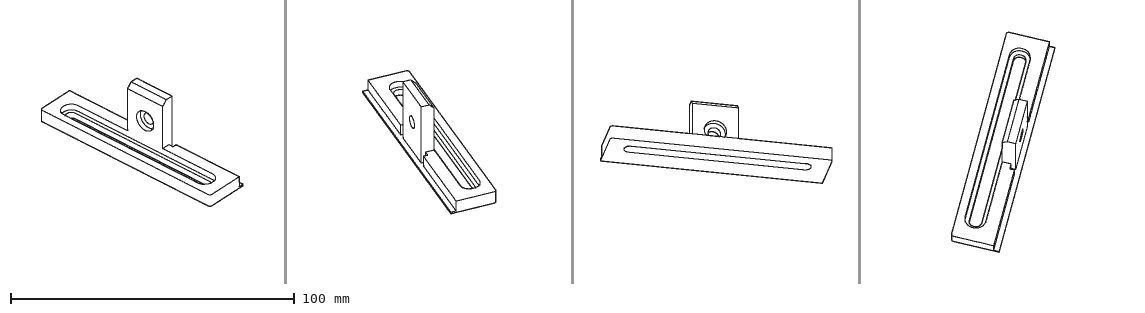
import cadquery as cq

length = 80.0
total_depth = 17.5
total_height = 25.0
base_height = 5.0
corner_radius = 1.0

lip_depth = 2.0
lip_height = 0.7
body_depth = total_depth - lip_depth

tab_width = 16.6
tab_thickness = 5.0
tab_chamfer = 1.9
tab_front = body_depth - tab_thickness

notch_width = 1.9
notch_depth = 1.7

hole_diameter = 4.5
counterbore_diameter = 8.0
counterbore_depth = 2.0
hole_height = base_height + 8.0

slot_length = 67.2
slot_width = 4.5
slot_radius = 2.0
recess_margin = 1.5
recess_depth = 2.5
recess_width = slot_width + 2 * recess_margin
slot_center = tab_front - recess_width / 2


def block(width, y_start, depth, z_start, height):
    """Box centred on x = 0, starting at the given y and z."""
    return (
        cq.Workplane("XY")
        .box(width, depth, height, centered=(True, False, False))
        .translate((0, y_start, z_start))
    )


def slot_cutter(end_to_end, width, radius, z_start, height):
    """Rectangular cutter on the slot centre line, with rounded vertical edges."""
    cutter = block(end_to_end, slot_center - width / 2, width, z_start, height)
    return cutter.edges("|Z").fillet(radius)


def tab_bore(diameter, depth):
    """Cylinder running rearward from the front face of the tab."""
    return (
        cq.Workplane("XZ", origin=(0, tab_front, hole_height))
        .circle(diameter / 2)
        .extrude(-depth)
    )


base = block(length, 0, body_depth, 0, base_height)
base = base.edges("|Z and <Y").fillet(corner_radius)
lip = block(length, body_depth, lip_depth, 0, lip_height)
base = base.union(lip)

relief = block(
    tab_width + 2 * notch_width,
    body_depth - notch_depth,
    notch_depth,
    lip_height,
    base_height - lip_height,
)
base = base.cut(relief)

tab = block(tab_width, tab_front, tab_thickness, lip_height, total_height - lip_height)
tab = tab.faces(">Z").edges("<Y").chamfer(tab_chamfer)
result = base.union(tab)

result = result.cut(slot_cutter(slot_length, slot_width, slot_radius, 0, base_height))
recess = slot_cutter(
    slot_length + 2 * recess_margin,
    recess_width,
    slot_radius + recess_margin,
    base_height - recess_depth,
    recess_depth,
)
result = result.cut(recess)

result = result.cut(tab_bore(hole_diameter, tab_thickness))
result = result.cut(tab_bore(counterbore_diameter, counterbore_depth))